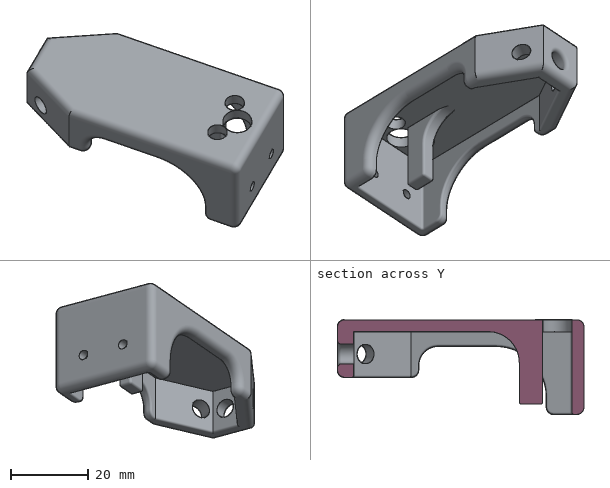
import cadquery as cq
import math

length = 63.85
width = 30.4
height = 24.6
rear_x = length / 2
front_x = -rear_x
half_width = width / 2

nose_taper_length = 15.95
nose_tip_half_width = 6.25
nose_depth = 15.0
kink_x = front_x + nose_taper_length
taper_angle = math.atan2(half_width - nose_tip_half_width, nose_taper_length)

arch_front_x = -10.85
arch_rear_x = 22.1
arch_depth = 6.95
arch_front_radius = 5.0
arch_rear_radius = 13.0
outer_fillet = 2.0

wall = 3.2
nose_wall = 4.3
cavity_fillet = 0.5

post_front_x = 15.05
post_rear_x = 21.2
post_width = 3.7
post_depth = 21.95
post_root_radius = 8.0
post_fillet = 0.65
post_embed = 1.3

margin = 0.05

top_large_diameter = 7.5
top_large_x = 24.95
top_small_diameter = 5.0
top_small_x = 21.8
top_small_y = 5.4
nose_hole_diameter = 5.0
nose_hole_depth = 8.95
nose_hole_rim_fillet = 1.1
side_hole_x = -26.7
rear_hole_diameter = 2.55
rear_hole_y = 6.0
rear_hole_depth = 16.2


def taper_half_width(x):
    """Half width of the sloped nose flank at x."""
    return nose_tip_half_width + (x - front_x) * math.tan(taper_angle)


def plan_prism(front, tip_half, kink, half, rear, depth):
    """Five-sided plan outline with a blunt nose, extruded down from z = 0."""
    points = [
        (front, -tip_half),
        (kink, -half),
        (rear, -half),
        (rear, half),
        (kink, half),
        (front, tip_half),
    ]
    return cq.Workplane("XY").polyline(points).close().extrude(-depth)


def make_arch_cutter():
    """Arched space below the nose bottom and the bridge, running the full width."""
    return (
        cq.Workplane("XZ", origin=(0, half_width, 0))
        .moveTo(front_x, -height)
        .lineTo(front_x, -nose_depth)
        .lineTo(arch_front_x, -nose_depth)
        .lineTo(arch_front_x, -arch_depth - arch_front_radius)
        .radiusArc((arch_front_x + arch_front_radius, -arch_depth), arch_front_radius)
        .lineTo(arch_rear_x - arch_rear_radius, -arch_depth)
        .radiusArc((arch_rear_x, -arch_depth - arch_rear_radius), arch_rear_radius)
        .lineTo(arch_rear_x, -height)
        .close()
        .extrude(width)
    )


def make_outer_block():
    """Tapered block with the arch removed; only the nose corners and arch tangent lines stay unrounded."""
    block = plan_prism(front_x, nose_tip_half_width, kink_x, half_width, rear_x, height)
    block = block.cut(make_arch_cutter())
    nose_corners = block.edges("|Z").edges(
        cq.selectors.BoxSelector(
            (front_x - margin, -width, -height), (kink_x + margin, width, 0)
        )
    )
    arch_lines = block.edges("|Y").edges(
        cq.selectors.BoxSelector(
            (arch_front_x - margin, -width, -height + margin),
            (arch_rear_x + margin, width, -arch_depth + margin),
        )
    )
    nose_end = block.edges("|Y").edges(
        cq.selectors.NearestToPointSelector((arch_front_x, 0, -nose_depth))
    )
    unrounded = nose_corners.vals() + arch_lines.vals()
    rounded = [edge for edge in block.edges().vals() if edge not in unrounded]
    return block.newObject(rounded + nose_end.vals()).fillet(outer_fillet)


def make_cavity():
    """Inner space that follows the plan outline, with thicker nose walls and rounded rear corners."""
    inner_half = half_width - wall
    inner_front = front_x + nose_wall
    flank_inset = nose_wall / math.cos(taper_angle)
    inner_tip_half = taper_half_width(inner_front) - flank_inset
    inner_kink = front_x + (inner_half + flank_inset - nose_tip_half_width) / math.tan(taper_angle)
    cavity = plan_prism(
        inner_front, inner_tip_half, inner_kink, inner_half, rear_x - wall, height
    )
    cavity = cavity.edges("|Z and >X").fillet(cavity_fillet)
    return cavity.translate((0, 0, -wall))


def round_cavity_rim(body):
    """Small rounding on the whole rim of the cavity opening."""
    rim_zone = cq.selectors.BoxSelector(
        (front_x + nose_wall - margin, wall - half_width - margin, -height - margin),
        (rear_x - wall + margin, half_width - wall + margin, -arch_depth + margin),
        boundingbox=True,
    )
    return body.edges(rim_zone).fillet(cavity_fillet)


def make_post():
    """Rectangular post with rounded edges and a curved front root, its top sunk into the ceiling."""
    top = post_embed - wall
    post = (
        cq.Workplane("XZ", origin=(0, post_width / 2, 0))
        .moveTo(post_front_x - post_root_radius, top)
        .lineTo(post_front_x - post_root_radius, -wall)
        .radiusArc((post_front_x, -wall - post_root_radius), post_root_radius)
        .lineTo(post_front_x, -post_depth)
        .lineTo(post_rear_x, -post_depth)
        .lineTo(post_rear_x, top)
        .close()
        .extrude(post_width)
    )
    below_ceiling = cq.selectors.BoxSelector(
        (front_x, -post_width, -height), (rear_x, post_width, -wall - margin)
    )
    return post.faces("|Y or <Z").edges(below_ceiling).fillet(post_fillet)


def make_top_hole(x, y, diameter):
    """Vertical hole through the ceiling."""
    return cq.Workplane("XY").center(x, y).circle(diameter / 2).extrude(-(wall + margin))


def make_nose_hole():
    """Lengthwise hole through the nose wall with a rounded, flared rim."""
    radius = nose_hole_diameter / 2
    flare = nose_hole_rim_fillet
    return (
        cq.Workplane("XY", origin=(front_x, 0, -nose_hole_depth))
        .lineTo(0, radius + flare)
        .radiusArc((flare, radius), -flare)
        .lineTo(nose_wall + margin, radius)
        .lineTo(nose_wall + margin, 0)
        .close()
        .revolve(360, (0, 0, 0), (1, 0, 0))
    )


def make_side_hole(side):
    """Hole through the sloped nose wall, square to its face; side is +1 or -1 along Y."""
    mouth = cq.Vector(side_hole_x, side * taper_half_width(side_hole_x), -nose_hole_depth)
    inward = cq.Vector(math.sin(taper_angle), -side * math.cos(taper_angle), 0)
    radius = nose_hole_diameter / 2
    cylinder = cq.Solid.makeCylinder(
        radius, nose_wall + 2 * margin, mouth - inward * margin, inward
    )
    return cq.Workplane(obj=cylinder)


def make_rear_hole(side):
    """Hole through the rear wall; side is +1 or -1 along Y."""
    cylinder = cq.Solid.makeCylinder(
        rear_hole_diameter / 2,
        wall + 2 * margin,
        cq.Vector(rear_x - wall - margin, side * rear_hole_y, -rear_hole_depth),
        cq.Vector(1, 0, 0),
    )
    return cq.Workplane(obj=cylinder)


body = make_outer_block().cut(make_cavity())
body = round_cavity_rim(body)
body = body.union(make_post())
body = body.cut(make_top_hole(top_large_x, 0, top_large_diameter))
body = body.cut(make_nose_hole())
for side in (1, -1):
    body = body.cut(make_top_hole(top_small_x, side * top_small_y, top_small_diameter))
    body = body.cut(make_side_hole(side))
    body = body.cut(make_rear_hole(side))

result = body.translate((0, 0, height / 2))